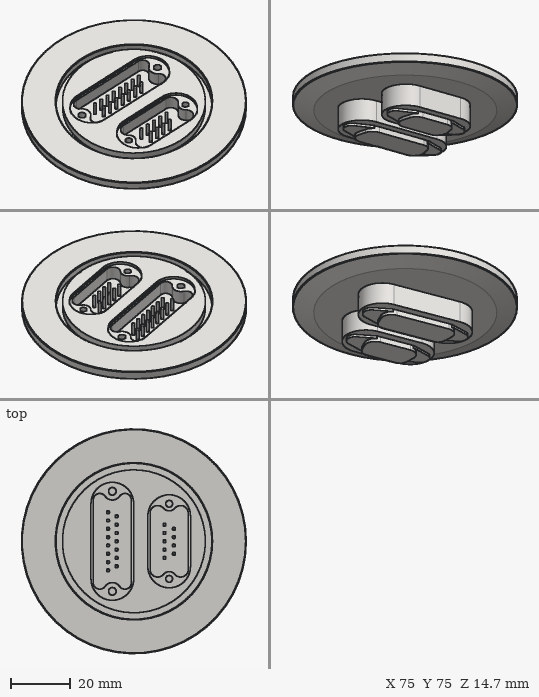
import cadquery as cq
import math

disc_radius = 37.5
rim_height = 3.2
disc_thickness = 5.0
cone_angle = 15.0
edge_break = 0.2

groove_outer_radius = 26.2
groove_inner_radius = 23.8
groove_depth = 2.8

body_width = 15.95
body_bottom = -12.7
recess_width = 14.2
recess_depth = 1.0
end_offset = 4.1
pocket_width = 12.75
pocket_depth = 5.0
screw_hole_depth = pocket_depth

pin_diameter = 1.0
pin_height = 4.65
pin_tip_radius = 0.3
pin_pitch = 2.8

shell_width = 10.3
shell_bottom = -14.7
shell_corner_radius = 3.7
shell_slant = 12.0
shell_end_offset = 3.15
ear_bottom = -13.55
ear_tip_radius = 2.9
ear_root_offset = 5.55

connectors = [
    dict(x=-7.2, screw_spacing=33.35, screw_diameter=2.55, lobe_radius=2.2,
         dent_radius=2.9, column_gap=2.85, pin_counts=(8, 7)),
    dict(x=11.8, screw_spacing=25.0, screw_diameter=2.25, lobe_radius=2.55,
         dent_radius=2.4, column_gap=3.15, pin_counts=(5, 4)),
]

pocket_top = -recess_depth
pocket_floor = pocket_top - pocket_depth


def revolved(outline):
    """Solid of revolution about Z from (radius, height) points."""
    return cq.Workplane("XZ").polyline(outline).close().revolve(360, (0, 0), (0, 1))


def flange_disc():
    """Disc with a broken rim and a conical underside, grooved on top."""
    cone_height = disc_thickness - rim_height
    face_radius = disc_radius - edge_break
    cone_bottom_radius = face_radius - cone_height / math.tan(math.radians(cone_angle))
    profile = [
        (0, 0),
        (face_radius, 0),
        (disc_radius, -edge_break),
        (disc_radius, edge_break - rim_height),
        (face_radius, -rim_height),
        (cone_bottom_radius, -disc_thickness),
        (0, -disc_thickness),
    ]
    wall_radius = groove_outer_radius - edge_break
    groove = [
        (groove_inner_radius, 0),
        (groove_outer_radius, 0),
        (wall_radius, -edge_break),
        (wall_radius, -groove_depth),
        (groove_inner_radius, -groove_depth),
    ]
    return revolved(profile).cut(revolved(groove))


def stadium(width, screw_spacing, top, bottom):
    """Upright block with full-round ends, long along Y."""
    length = screw_spacing - 2 * end_offset + width
    return cq.Workplane("XY", origin=(0, 0, top)).slot2D(length, width, 90).extrude(bottom - top)


def wavy_pocket(screw_spacing, lobe_radius, dent_radius):
    """Contact pocket whose ends dip around the screw holes between two corner lobes."""
    half_width = pocket_width / 2
    screw_y = screw_spacing / 2
    lobe_x = half_width - lobe_radius
    centre_distance = lobe_radius + dent_radius
    lobe_y = screw_y - math.sqrt(centre_distance**2 - lobe_x**2)
    tangent_x = lobe_x * dent_radius / centre_distance
    tangent_y = screw_y + (lobe_y - screw_y) * dent_radius / centre_distance
    dent_y = screw_y - dent_radius
    lobe_top = lobe_y + lobe_radius
    return (
        cq.Workplane("XY", origin=(0, 0, pocket_top))
        .moveTo(half_width, -lobe_y)
        .lineTo(half_width, lobe_y)
        .threePointArc((lobe_x, lobe_top), (tangent_x, tangent_y))
        .threePointArc((0, dent_y), (-tangent_x, tangent_y))
        .threePointArc((-lobe_x, lobe_top), (-half_width, lobe_y))
        .lineTo(-half_width, -lobe_y)
        .threePointArc((-lobe_x, -lobe_top), (-tangent_x, -tangent_y))
        .threePointArc((0, -dent_y), (tangent_x, -tangent_y))
        .threePointArc((lobe_x, -lobe_top), (half_width, -lobe_y))
        .close()
        .extrude(-pocket_depth)
    )


def pins(column_gap, pin_counts):
    """Two columns of round-tipped pins standing on the pocket floor."""
    points = []
    for side, count in zip((-1, 1), pin_counts):
        for index in range(count):
            y = (index - (count - 1) / 2) * pin_pitch
            points.append((side * column_gap / 2, y))
    return (
        cq.Workplane("XY", origin=(0, 0, pocket_floor))
        .pushPoints(points)
        .circle(pin_diameter / 2)
        .extrude(pin_height)
        .faces(">Z")
        .edges()
        .fillet(pin_tip_radius)
    )


def d_shell(screw_spacing):
    """Rounded D-shaped plug shell, wider on its -X side."""
    half_width = shell_width / 2
    slant = math.radians(shell_slant)
    radius = shell_corner_radius
    arc_y = screw_spacing / 2 - shell_end_offset - radius
    wide_y = arc_y + radius * math.tan((math.pi / 2 + slant) / 2)
    narrow_y = wide_y - shell_width * math.tan(slant)
    corners = [
        (-half_width, -wide_y),
        (half_width, -narrow_y),
        (half_width, narrow_y),
        (-half_width, wide_y),
    ]
    return (
        cq.Workplane("XY", origin=(0, 0, body_bottom))
        .polyline(corners)
        .close()
        .extrude(shell_bottom - body_bottom)
        .edges("|Z")
        .fillet(radius)
    )


def screw_ear(screw_spacing):
    """Tapered ear with a round tip centred on the +Y screw hole."""
    half_width = shell_width / 2
    screw_y = screw_spacing / 2
    root_y = screw_y - ear_root_offset
    root_distance = math.hypot(half_width, ear_root_offset)
    normal = math.acos(ear_tip_radius / root_distance) - math.atan2(ear_root_offset, half_width)
    tangent_x = ear_tip_radius * math.cos(normal)
    tangent_y = screw_y + ear_tip_radius * math.sin(normal)
    return (
        cq.Workplane("XY", origin=(0, 0, body_bottom))
        .moveTo(-half_width, root_y)
        .lineTo(half_width, root_y)
        .lineTo(tangent_x, tangent_y)
        .threePointArc((0, screw_y + ear_tip_radius), (-tangent_x, tangent_y))
        .close()
        .extrude(ear_bottom - body_bottom)
    )


def screw_holes(screw_spacing, screw_diameter):
    """Blind screw holes in the recess floor."""
    return (
        cq.Workplane("XY", origin=(0, 0, pocket_top))
        .pushPoints([(0, -screw_spacing / 2), (0, screw_spacing / 2)])
        .circle(screw_diameter / 2)
        .extrude(-screw_hole_depth)
    )


result = flange_disc()
for connector in connectors:
    spacing = connector["screw_spacing"]
    place = (connector["x"], 0, 0)
    ear = screw_ear(spacing)
    solid = (
        stadium(body_width, spacing, pocket_top, body_bottom)
        .union(d_shell(spacing))
        .union(ear)
        .union(ear.mirror("XZ"))
    )
    hollow = (
        stadium(recess_width, spacing, 0, pocket_top)
        .union(wavy_pocket(spacing, connector["lobe_radius"], connector["dent_radius"]))
        .union(screw_holes(spacing, connector["screw_diameter"]))
    )
    contacts = pins(connector["column_gap"], connector["pin_counts"])
    result = (
        result.union(solid.translate(place))
        .cut(hollow.translate(place))
        .union(contacts.translate(place))
    )